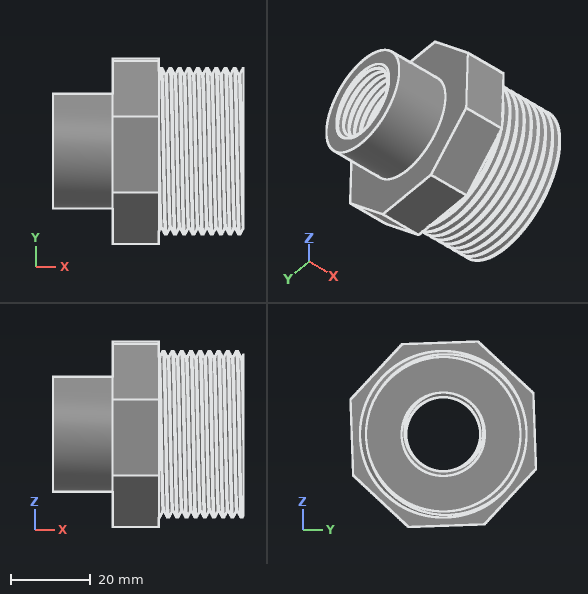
import cadquery as cq
import math


total_length = 48.0
spigot_length = 15.0
flange_length = 11.65
shank_start = spigot_length + flange_length
shank_length = total_length - shank_start

spigot_diameter = 28.95
flange_across_flats = 46.1
flange_sides = 8
flange_twist = 2.0
shank_diameter = 38.9
bore_diameter = 21.0

flank_angle = 27.5
outer_pitch = 2.31
outer_crest_diameter = 41.9
outer_crest_width = 0.4
inner_pitch = 1.815
inner_crest_diameter = 18.6
inner_crest_width = 0.3
outer_start_angle = -90.0
inner_start_angle = 90.0


def cylinder(diameter, start, length):
    return cq.Workplane("YZ", origin=(start, 0, 0)).circle(diameter / 2).extrude(length)


def make_fitting():
    half_side_angle = 180 / flange_sides
    flange_corner_diameter = flange_across_flats / math.cos(math.radians(half_side_angle))
    flange = (
        cq.Workplane("YZ", origin=(spigot_length, 0, 0))
        .polygon(flange_sides, flange_corner_diameter)
        .extrude(flange_length)
        .rotate((0, 0, 0), (1, 0, 0), half_side_angle + flange_twist)
    )
    spigot = cylinder(spigot_diameter, 0, spigot_length)
    shank = cylinder(shank_diameter, shank_start, shank_length)
    bore = cylinder(bore_diameter, 0, total_length)
    return spigot.union(flange).union(shank).cut(bore)


def helical_ridge(profile, pitch, height):
    """Solid swept by a profile of (radius, height) corners along a right-hand helix about Z."""
    rails = []
    for radius, corner_height in profile:
        helix = cq.Wire.makeHelix(pitch, height, radius)
        rails.append(helix.translate(cq.Vector(0, 0, corner_height)))

    next_rails = rails[1:] + rails[:1]
    sides = [cq.Face.makeRuledSurface(rail, next_rail) for rail, next_rail in zip(rails, next_rails)]

    end_caps = []
    for position in (0, 1):
        corners = [rail.positionAt(position) for rail in rails]
        end_caps.append(cq.Face.makeFromWires(cq.Wire.makePolygon(corners, close=True)))

    return cq.Solid.makeSolid(cq.Shell.makeShell(sides + end_caps)).fix()


def make_thread(root_diameter, crest_diameter, crest_width, pitch, start, length, start_angle):
    """Right-hand thread ridge from root to crest, cut off square at both ends."""
    root_radius = root_diameter / 2
    crest_radius = crest_diameter / 2
    flank_width = abs(root_radius - crest_radius) * math.tan(math.radians(flank_angle))
    half_crest = crest_width / 2
    half_root = half_crest + flank_width
    profile = [
        (root_radius, -half_root),
        (crest_radius, -half_crest),
        (crest_radius, half_crest),
        (root_radius, half_root),
    ]

    turns = math.ceil(length / pitch) + 2
    ridge = (
        cq.Workplane(helical_ridge(profile, pitch, turns * pitch))
        .rotate((0, 0, 0), (1, 1, 1), 120)
        .rotate((0, 0, 0), (1, 0, 0), start_angle)
        .translate((start - pitch, 0, 0))
    )
    return ridge.intersect(cylinder(2 * root_diameter, start, length))


fitting = make_fitting()
outer_thread = make_thread(
    shank_diameter, outer_crest_diameter, outer_crest_width, outer_pitch,
    shank_start, shank_length, outer_start_angle,
)
inner_thread = make_thread(
    bore_diameter, inner_crest_diameter, inner_crest_width, inner_pitch,
    0, total_length, inner_start_angle,
)

result = cq.Compound.makeCompound([fitting.val(), *outer_thread.vals(), *inner_thread.vals()])